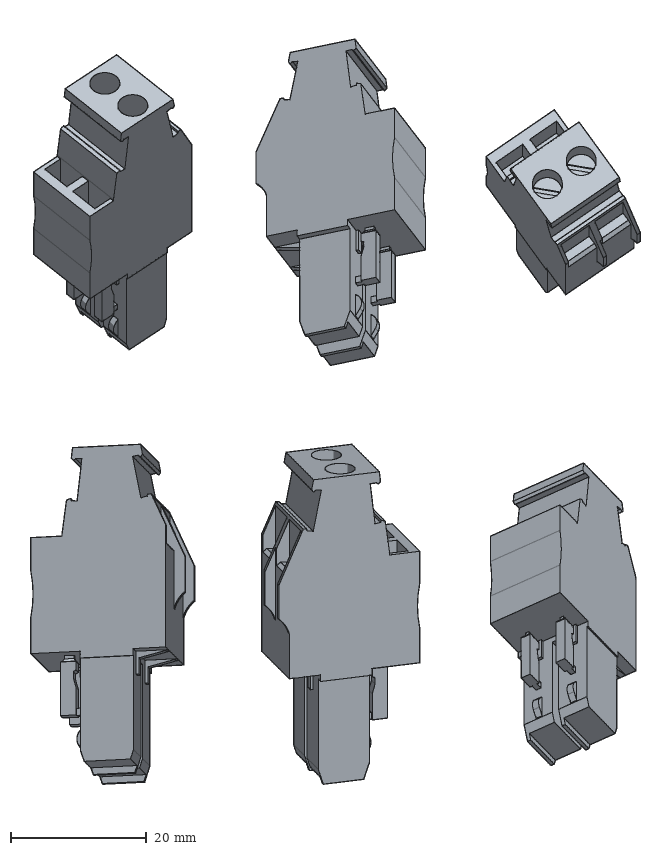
import cadquery as cq

pole_count = 2
pole_pitch = 6.1
end_margin = 0.1
body_width = pole_count * pole_pitch + end_margin
height = 48.5

body_bottom = 17.65
block_bottom = 16.65
back_y = 20.35
fin_back_y = 22.0
fin_bottom = 27.2
fin_arc_bottom = 24.72
fin_arc_middle = (21.2, 26.35)
slope_top = (18.2, 40.9)
slope_bottom = (fin_back_y, 32.55)
entry_top = 35.2
entry_wall_y = 4.7
entry_wall_foot = 0.25
grip_top = 30.1
grip_bottom = 23.15
grip_depth = 0.35

front_shoulder = [(5.4, 40.6), (6.0, 40.8), (6.1, 40.5), (7.0, 40.4)]
flange_underside_front = [(7.7, 46.75), (6.8, 46.8), (6.5, 46.55), (6.1, 46.9)]
flange_underside_back = [(16.85, 46.95), (16.6, 46.55), (16.2, 46.85), (15.35, 46.7)]
top_flange = flange_underside_front + [(6.3, height), (16.6, height)] + flange_underside_back
back_shoulder = [(16.65, 40.4), (17.55, 40.6), (17.65, 40.85)]

recess_floor_front = (18.35, 33.8)
recess_ridge = (19.75, 33.95)
recess_rim = (back_y, 33.45)

fin_wall = 0.6
far_wall = 0.45

screw_diameter = 4.4
screw_x = 3.15
screw_y = 11.35
screw_depth = 4.85
driver_slot_width = 0.7
driver_slot_depth = 0.5
driver_slot_angle = -45
pocket_x = 0.75
pocket_width = 4.8
pocket_front_y = 1.6
pocket_depth = 7.25

shaft_x = 1.0
shaft_width = 5.0
shaft_front_y = 7.45
shaft_back_y = 15.45
shaft_wall = 0.6
front_taper_top = 2.6
back_taper_top = 2.4
tip_front_y = 8.4
tip_back_y = 14.7
shaft_core_bottom = 1.0

latch_x = 2.75
latch_width = 1.6
latch_front_y = 4.05
latch_back_y = 6.45
latch_bottom = 8.5
relief_y = 6.0
relief_top = 15.25
relief_upper_ramp = 0.25
relief_bottom = 12.6
relief_lower_ramp = 1.5
neck_x = 3.2
neck_width = 0.6
neck_front_y = 4.55
neck_back_y = 6.0
neck_bottom = 17.15
flare_width = 1.2
flare_depth = 2.15
foot_x = 3.15
foot_width = 0.85
foot_height = 1.05
rib_x = 3.35
rib_width = latch_x + latch_width - rib_x
rib_thickness = 0.45
rib_bottom = 14.2

nose_x = 3.15
nose_width = 1.05
nose_top = 6.5
nose_bottom = 2.8
nose_arc_middle = (6.6, 5.45)
nose_arc_end = (6.75, 3.98)


def extrude_profile(sketch, x, width):
    """Extrude a closed YZ profile along +X, starting at x."""
    return sketch.close().extrude(width).translate((x, 0, 0))


def box(x, y, z, size_x, size_y, size_z):
    """Box given by its lowest corner and its sizes."""
    return cq.Workplane("XY").box(size_x, size_y, size_z, centered=False).translate((x, y, z))


def housing():
    """Side outline over the full width, including the finned back."""
    sketch = (
        cq.Workplane("YZ")
        .moveTo(0, body_bottom)
        .lineTo(0, grip_bottom)
        .threePointArc((grip_depth, (grip_bottom + grip_top) / 2), (0, grip_top))
        .lineTo(0, entry_top)
        .lineTo(entry_wall_y, entry_top)
        .lineTo(entry_wall_y, entry_top + entry_wall_foot)
        .polyline(front_shoulder + top_flange + back_shoulder, includeCurrent=True)
        .lineTo(*slope_top)
        .lineTo(*slope_bottom)
        .lineTo(fin_back_y, fin_bottom)
        .threePointArc(fin_arc_middle, (back_y, fin_arc_bottom))
        .lineTo(back_y, body_bottom)
    )
    return extrude_profile(sketch, 0, body_width)


def back_fin(pole_x):
    """Thin wall behind the back face, at the left edge of a pole."""
    return box(pole_x, back_y, 0, fin_wall, fin_back_y - back_y, height)


def back_clearance():
    """Space behind the back face, with the fin of each pole left standing."""
    space = box(0, back_y, 0, body_width, fin_back_y - back_y, height)
    for pole in range(pole_count):
        space = space.cut(back_fin(pole * pole_pitch))
    return space


def back_recess(pole_x):
    """Recess between the two walls of a pole: upright wall, floor tilted inward, chamfered rim."""
    sketch = cq.Workplane("YZ").polyline([
        (recess_floor_front[0], slope_top[1]),
        recess_floor_front,
        recess_ridge,
        recess_rim,
        (fin_back_y, recess_rim[1]),
        (fin_back_y, slope_top[1]),
    ])
    return extrude_profile(sketch, pole_x + fin_wall, pole_pitch - fin_wall - far_wall)


def screw_hole(pole_x):
    """Round screw access with a diagonal driver slot in the screw head at its floor."""
    floor = height - screw_depth
    hole = cq.Workplane("XY").circle(screw_diameter / 2).extrude(screw_depth)
    slot = (
        cq.Workplane("XY")
        .rect(screw_diameter, driver_slot_width)
        .extrude(-driver_slot_depth)
        .rotate((0, 0, 0), (0, 0, 1), driver_slot_angle)
        .intersect(cq.Workplane("XY").circle(screw_diameter / 2).extrude(-driver_slot_depth))
    )
    return hole.union(slot).translate((pole_x + screw_x, screw_y, floor))


def wire_pocket(pole_x):
    """Rectangular wire entry, open at the top of the front step."""
    depth_y = entry_wall_y - pocket_front_y
    floor = entry_top - pocket_depth
    return box(pole_x + pocket_x, pocket_front_y, floor, pocket_width, depth_y, pocket_depth)


def shaft(pole_x):
    """Tapered contact shaft; one thin side wall reaches lower than the core."""
    sketch = cq.Workplane("YZ").polyline([
        (shaft_front_y, body_bottom),
        (shaft_front_y, front_taper_top),
        (tip_front_y, 0),
        (tip_back_y, 0),
        (shaft_back_y, back_taper_top),
        (shaft_back_y, body_bottom),
    ])
    outer = extrude_profile(sketch, pole_x + shaft_x, shaft_width)
    gap = box(
        pole_x + shaft_x + shaft_wall, 0, 0,
        shaft_width - shaft_wall, back_y, shaft_core_bottom,
    )
    return outer.cut(gap)


def snap_nose(pole_x):
    """Rounded nose with a straight lower ramp on the front of the shaft."""
    sketch = (
        cq.Workplane("YZ")
        .moveTo(shaft_front_y, nose_top)
        .threePointArc(nose_arc_middle, nose_arc_end)
        .lineTo(shaft_front_y, nose_bottom)
    )
    return extrude_profile(sketch, pole_x + nose_x, nose_width)


def latch(pole_x):
    """Latch bar hung from the housing by a flared neck and tied to the shaft by a foot."""
    sketch = cq.Workplane("YZ").polyline([
        (latch_front_y, latch_bottom),
        (latch_front_y, block_bottom),
        (latch_back_y, block_bottom),
        (latch_back_y, relief_top),
        (relief_y, relief_top - relief_upper_ramp),
        (relief_y, relief_bottom + relief_lower_ramp),
        (latch_back_y, relief_bottom),
        (latch_back_y, latch_bottom),
    ])
    bar = extrude_profile(sketch, pole_x + latch_x, latch_width)
    neck_depth = neck_back_y - neck_front_y
    neck_height = body_bottom - neck_bottom
    neck = box(pole_x + neck_x, neck_front_y, neck_bottom, neck_width, neck_depth, neck_height)
    flare = (
        cq.Workplane("XY")
        .rect(flare_width, flare_depth)
        .workplane(offset=neck_bottom - block_bottom)
        .rect(neck_width, neck_depth)
        .loft(combine=True)
        .translate((pole_x + neck_x + neck_width / 2, (neck_front_y + neck_back_y) / 2, block_bottom))
    )
    foot = box(
        pole_x + foot_x, latch_back_y, latch_bottom,
        foot_width, shaft_front_y - latch_back_y, foot_height,
    )
    return bar.union(flare).union(neck).union(foot)


def ribs(pole_x):
    """Short ribs down both faces of the shaft; the back one has a sloping gusset."""
    x = pole_x + rib_x
    rib_height = body_bottom - rib_bottom
    front = box(x, shaft_front_y - rib_thickness, rib_bottom, rib_width, rib_thickness, rib_height)
    back = cq.Workplane("YZ").polyline([
        (shaft_back_y, rib_bottom),
        (shaft_back_y, body_bottom),
        (back_y, body_bottom),
        (shaft_back_y + rib_thickness, block_bottom),
        (shaft_back_y + rib_thickness, rib_bottom),
    ])
    return front.union(extrude_profile(back, x, rib_width))


base_block = box(
    0, shaft_front_y, block_bottom,
    body_width, shaft_back_y - shaft_front_y, body_bottom - block_bottom,
)
result = housing().union(base_block).cut(back_clearance())
for pole in range(pole_count):
    x = pole * pole_pitch
    result = result.cut(back_recess(x)).cut(screw_hole(x)).cut(wire_pocket(x))
    result = result.union(shaft(x)).union(snap_nose(x)).union(latch(x)).union(ribs(x))